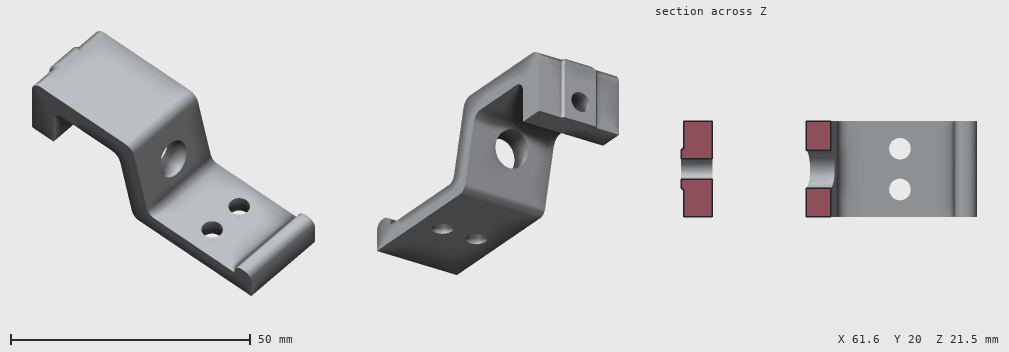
import cadquery as cq
import math

length = 61.6
width = 20.0
height = 21.5

rib_height = 0.5
leg_inner_x = 6.5
leg_bottom_z = 6.9
top_thickness = 5.0
plate_thickness = 3.95
web_thickness = 5.0
web_angle = 14.0
web_outer_x = 30.8
web_reference_z = 12.3
large_radius = 2.5
small_radius = 2.0

bead_top_z = 6.5
bead_base_x = 56.8
bead_radius = 2.0

rib_half_width = 4.45
rib_arch_radius = 3.25
rib_arch_start_z = height - 2.45
rib_round_center_x = 2.3
rib_depth = 3.7
rib_chamfer = rib_height

screw_diameter = 4.5
access_diameter = 8.0
cross_hole_z = 11.5
plate_hole_x = 45.6
plate_hole_spacing = 8.5

slope = math.tan(math.radians(web_angle))
web_span_x = web_thickness / math.cos(math.radians(web_angle))
top_inner_z = height - top_thickness


def web_outer(z):
    """X of the outer face of the inclined web at height z."""
    return web_outer_x - (z - web_reference_z) * slope


def web_inner(z):
    """X of the inner face of the inclined web at height z."""
    return web_outer(z) - web_span_x


def extrude_section(outline):
    """Extrude a closed XZ outline over the full width, centred on Y."""
    return outline.extrude(width / 2, both=True)


def round_corner(solid, x, z, radius):
    """Fillet the edge along Y that passes through (x, z)."""
    edge = cq.selectors.NearestToPointSelector((x, 0, z))
    return solid.edges("|Y").edges(edge).fillet(radius)


def make_body():
    bead_top_x = bead_base_x + (bead_top_z - plate_thickness) * slope
    points = [
        (rib_height, leg_bottom_z),
        (rib_height, height),
        (web_outer(height), height),
        (web_outer(plate_thickness), plate_thickness),
        (bead_base_x, plate_thickness),
        (bead_top_x, bead_top_z),
        (length, bead_top_z),
        (length, 0),
        (web_inner(0), 0),
        (web_inner(top_inner_z), top_inner_z),
        (leg_inner_x, top_inner_z),
        (leg_inner_x, leg_bottom_z),
    ]
    body = extrude_section(cq.Workplane("XZ").polyline(points).close())
    rounds = [
        (rib_height, height, large_radius),
        (web_outer(height), height, large_radius),
        (web_outer(plate_thickness), plate_thickness, small_radius),
        (bead_top_x, bead_top_z, bead_radius),
        (length, bead_top_z, bead_radius),
        (web_inner(0), 0, small_radius),
        (web_inner(top_inner_z), top_inner_z, large_radius),
        (leg_inner_x, top_inner_z, large_radius),
    ]
    for x, z, radius in rounds:
        body = round_corner(body, x, z, radius)
    return body


def make_rib():
    """Arched rib with a rounded top and chamfered sides, sunk into the leg."""
    center_z = height - large_radius
    face_top_z = center_z + math.sqrt(large_radius**2 - rib_round_center_x**2)
    middle_angle = math.radians(120)
    arc_middle = (
        rib_round_center_x + large_radius * math.cos(middle_angle),
        center_z + large_radius * math.sin(middle_angle),
    )
    section = extrude_section(
        cq.Workplane("XZ")
        .moveTo(0, leg_bottom_z)
        .lineTo(0, face_top_z)
        .threePointArc(arc_middle, (rib_round_center_x, height))
        .lineTo(rib_depth, height)
        .lineTo(rib_depth, leg_bottom_z)
        .close()
    )
    arch_height = rib_arch_start_z + rib_arch_radius - leg_bottom_z
    arch = (
        cq.Workplane("XY")
        .box(rib_depth, 2 * rib_half_width, arch_height, centered=(False, True, False))
        .translate((0, 0, leg_bottom_z))
        .edges("|X and >Z")
        .fillet(rib_arch_radius)
    )
    rib = section.intersect(arch)
    top_round = cq.selectors.NearestToPointSelector((arc_middle[0], 0, arc_middle[1]))
    outer_edges = rib.faces("<X").add(rib.faces(top_round)).edges("not |Y")
    return outer_edges.chamfer(rib_chamfer)


def cut_holes(solid):
    leg_hole = (
        cq.Workplane("YZ")
        .center(0, cross_hole_z)
        .circle(screw_diameter / 2)
        .extrude(leg_inner_x)
    )
    access_hole = (
        cq.Workplane("YZ", origin=(leg_inner_x, 0, 0))
        .center(0, cross_hole_z)
        .circle(access_diameter / 2)
        .extrude(plate_hole_x - leg_inner_x)
    )
    plate_holes = (
        cq.Workplane("XY")
        .center(plate_hole_x, 0)
        .rarray(0.6, plate_hole_spacing, 1, 2)
        .circle(screw_diameter / 2)
        .extrude(plate_thickness)
    )
    return solid.cut(leg_hole).cut(access_hole).cut(plate_holes)


result = cut_holes(make_body().union(make_rib()))